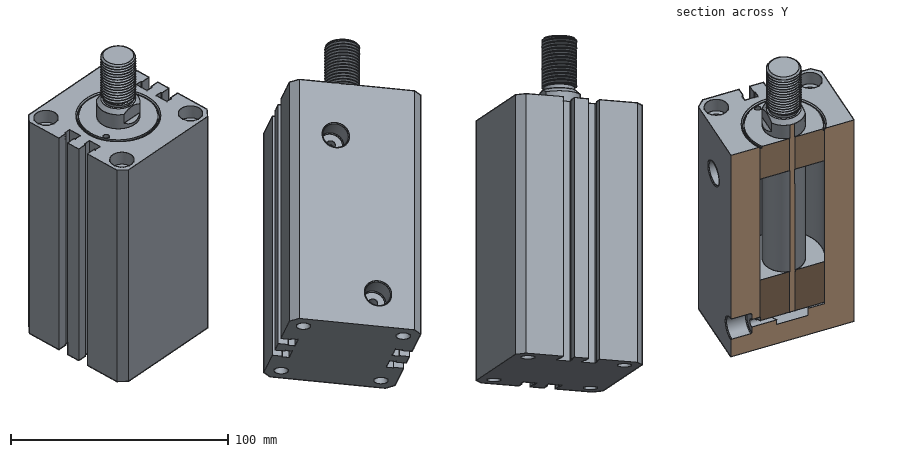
import cadquery as cq
import math


TOTAL_HEIGHT = 158.0

BODY_SIDE = 62.0
BODY_HEIGHT = 123.0
CORNER_CHAMFER = 3.8

SLOT_OFFSET = 6.2
SLOT_MOUTH_WIDTH = 5.4
SLOT_INNER_WIDTH = 6.6
SLOT_LIP_DEPTH = 4.7
SLOT_DEPTH = 8.0

BOLT_OFFSET = 23.5
BOLT_HOLE_DIAMETER = 6.6
COUNTERBORE_DIAMETER = 11.2
COUNTERBORE_DEPTH = 7.0

BORE_RADIUS = 19.0
BORE_FLOOR = 16.3
RECESS_RADIUS = 12.6
RECESS_FLOOR = 12.0
RIM_CHAMFER = 0.6

PORT_OFFSET = 10.0
UPPER_PORT_Z = 96.0
LOWER_PORT_Z = 16.9
PORT_MOUTH_DIAMETER = 13.0
PORT_DIAMETER = 12.0
PORT_DEPTH = 10.0
PORT_FLOOR_DIAMETER = 11.0
PORT_PASSAGE_DIAMETER = 4.3

COVER_HEIGHT = 19.9
COVER_TOP_RADIUS = 18.3
COVER_STEP_HEIGHT = 1.0
SPANNER_HOLE_RADIUS = 1.5
SPANNER_HOLE_DEPTH = 3.0
SPANNER_CIRCLE_RADIUS = 16.6
SPANNER_ANGLE = 112.5
DRILL_TIP_ANGLE = 118.0

PISTON_BOTTOM = LOWER_PORT_Z
PISTON_HEIGHT = 25.0

ROD_DIAMETER = 20.0
ROD_CONE_TOP_RADIUS = 8.0
SHOULDER_FROM_TIP = 25.0
THREAD_LENGTH = 23.0
THREAD_RADIUS = 8.0
THREAD_ROOT_RADIUS = 7.1
THREAD_PITCH = 1.5
THREAD_CREST = 0.24
TIP_CHAMFER = 1.0
WIDTH_ACROSS_FLATS = 16.9
FLAT_BOTTOM_FROM_TIP = 32.0

CLEARANCE = 1.6
THREAD_CLEARANCE = 0.2

HALF_SIDE = BODY_SIDE / 2
ROD_RADIUS = ROD_DIAMETER / 2
FLAT_HALF_WIDTH = WIDTH_ACROSS_FLATS / 2
COVER_BOTTOM = BODY_HEIGHT - COVER_HEIGHT
SHOULDER_Z = TOTAL_HEIGHT - SHOULDER_FROM_TIP
THREAD_BOTTOM = TOTAL_HEIGHT - THREAD_LENGTH


def cylinder(radius, bottom, top):
    """Cylinder on the Z axis between two heights."""
    return cq.Workplane("XY").workplane(offset=bottom).circle(radius).extrude(top - bottom)


def slot(side, x_center):
    """Undercut groove along the full height, in the +Y (side = 1) or -Y (side = -1) face."""
    def strip(width, outer, inner):
        middle = side * (HALF_SIDE - (outer + inner) / 2)
        return cq.Workplane("XY").center(x_center, middle).rect(width, inner - outer).extrude(BODY_HEIGHT)

    mouth = strip(SLOT_MOUTH_WIDTH, -CLEARANCE, SLOT_DEPTH)
    undercut = strip(SLOT_INNER_WIDTH, SLOT_LIP_DEPTH, SLOT_DEPTH)
    return mouth.union(undercut)


def port(y, z):
    """Port in the -X face: countersunk hole with a tapered end, then a small passage into the bore."""
    mouth_radius = PORT_MOUTH_DIAMETER / 2
    hole_radius = PORT_DIAMETER / 2
    floor_radius = PORT_FLOOR_DIAMETER / 2
    passage_radius = PORT_PASSAGE_DIAMETER / 2
    floor_depth = PORT_DEPTH + hole_radius - floor_radius
    half_section = [
        (0, 0),
        (mouth_radius, 0),
        (hole_radius, mouth_radius - hole_radius),
        (hole_radius, PORT_DEPTH),
        (floor_radius, floor_depth),
        (passage_radius, floor_depth),
        (passage_radius, HALF_SIDE),
        (0, HALF_SIDE),
    ]
    port_plane = cq.Plane(origin=(-HALF_SIDE, y, z), xDir=(0, 1, 0), normal=(0, 0, 1))
    sketch = cq.Workplane(port_plane).polyline([(radius, -depth) for radius, depth in half_section]).close()
    return sketch.revolve(360, (0, 0), (0, 1))


def make_housing():
    """Square block with slots, bolt holes, stepped bore and two ports."""
    block = cq.Workplane("XY").rect(BODY_SIDE, BODY_SIDE).extrude(BODY_HEIGHT)
    block = block.edges("|Z").chamfer(CORNER_CHAMFER)

    for side in (-1, 1):
        for x_center in (-SLOT_OFFSET, SLOT_OFFSET):
            block = block.cut(slot(side, x_center))

    block = (
        block.faces(">Z").workplane(origin=(0, 0, BODY_HEIGHT))
        .rect(2 * BOLT_OFFSET, 2 * BOLT_OFFSET, forConstruction=True).vertices()
        .cboreHole(BOLT_HOLE_DIAMETER, COUNTERBORE_DIAMETER, COUNTERBORE_DEPTH)
    )

    block = block.cut(cylinder(BORE_RADIUS, BORE_FLOOR, BODY_HEIGHT))
    block = block.cut(cylinder(RECESS_RADIUS, RECESS_FLOOR, BORE_FLOOR))
    rim = cq.Solid.makeCone(
        BORE_RADIUS, BORE_RADIUS + RIM_CHAMFER, RIM_CHAMFER, pnt=cq.Vector(0, 0, BODY_HEIGHT - RIM_CHAMFER)
    )
    block = block.cut(cq.Workplane(rim))

    block = block.cut(port(PORT_OFFSET, UPPER_PORT_Z))
    return block.cut(port(-PORT_OFFSET, LOWER_PORT_Z))


def spanner_hole(angle):
    """Blind hole with a drill tip in the top of the cover."""
    tip_depth = SPANNER_HOLE_RADIUS / math.tan(math.radians(DRILL_TIP_ANGLE / 2))
    x = SPANNER_CIRCLE_RADIUS * math.cos(math.radians(angle))
    y = SPANNER_CIRCLE_RADIUS * math.sin(math.radians(angle))
    half_section = [
        (0, 0),
        (SPANNER_HOLE_RADIUS, 0),
        (SPANNER_HOLE_RADIUS, -SPANNER_HOLE_DEPTH),
        (0, -SPANNER_HOLE_DEPTH - tip_depth),
    ]
    sketch = cq.Workplane("XZ", origin=(x, y, BODY_HEIGHT)).polyline(half_section).close()
    return sketch.revolve(360, (0, 0), (0, 1))


def make_cover():
    """Stepped disc around the rod, flush with the top of the housing."""
    disc = cylinder(BORE_RADIUS, COVER_BOTTOM, BODY_HEIGHT - COVER_STEP_HEIGHT)
    disc = disc.union(cylinder(COVER_TOP_RADIUS, COVER_BOTTOM, BODY_HEIGHT))
    disc = disc.cut(cylinder(ROD_RADIUS, COVER_BOTTOM, BODY_HEIGHT))
    for angle in (SPANNER_ANGLE, SPANNER_ANGLE + 180):
        disc = disc.cut(spanner_hole(angle))
    return disc


def make_piston():
    """Plain ring filling the bore around the lower end of the rod."""
    top = PISTON_BOTTOM + PISTON_HEIGHT
    disc = cylinder(BORE_RADIUS, PISTON_BOTTOM, top)
    return disc.cut(cylinder(ROD_RADIUS, PISTON_BOTTOM, top))


def thread_groove():
    """Right-handed V groove wound around the rod from the relief to just below the tip."""
    bottom = THREAD_BOTTOM - THREAD_PITCH / 2
    helix = cq.Wire.makeHelix(THREAD_PITCH, THREAD_LENGTH, THREAD_ROOT_RADIUS)
    half_width = (THREAD_PITCH - THREAD_CREST) / 2
    flank = half_width / (THREAD_RADIUS - THREAD_ROOT_RADIUS)
    outer = THREAD_RADIUS + THREAD_CLEARANCE
    outer_half_width = flank * (outer - THREAD_ROOT_RADIUS)
    section = cq.Workplane("XZ").polyline(
        [(THREAD_ROOT_RADIUS, 0), (outer, outer_half_width), (outer, -outer_half_width)]
    ).close()
    return section.sweep(cq.Workplane(helix), isFrenet=True).translate((0, 0, bottom))


def wrench_flat(side):
    """Cut for one flat; its lower end slopes out at 45 degrees to the rod surface."""
    depth = ROD_RADIUS - FLAT_HALF_WIDTH
    flat_bottom = TOTAL_HEIGHT - FLAT_BOTTOM_FROM_TIP
    outer = ROD_RADIUS + CLEARANCE
    outline = [
        (side * FLAT_HALF_WIDTH, SHOULDER_Z),
        (side * FLAT_HALF_WIDTH, flat_bottom),
        (side * outer, flat_bottom - depth - CLEARANCE),
        (side * outer, SHOULDER_Z),
    ]
    return cq.Workplane("XZ").polyline(outline).close().extrude(ROD_RADIUS, both=True)


def make_rod():
    """Rod from the piston's lower face to the threaded tip, with two wrench flats."""
    cone_bottom = SHOULDER_Z - (ROD_RADIUS - ROD_CONE_TOP_RADIUS)
    half_section = [
        (0, PISTON_BOTTOM),
        (ROD_RADIUS, PISTON_BOTTOM),
        (ROD_RADIUS, cone_bottom),
        (ROD_CONE_TOP_RADIUS, SHOULDER_Z),
        (THREAD_ROOT_RADIUS, SHOULDER_Z),
        (THREAD_ROOT_RADIUS, THREAD_BOTTOM),
        (THREAD_RADIUS, THREAD_BOTTOM),
        (THREAD_RADIUS, TOTAL_HEIGHT - TIP_CHAMFER),
        (THREAD_RADIUS - TIP_CHAMFER, TOTAL_HEIGHT),
        (0, TOTAL_HEIGHT),
    ]
    rod = cq.Workplane("XZ").polyline(half_section).close().revolve(360, (0, 0), (0, 1))
    for side in (-1, 1):
        rod = rod.cut(wrench_flat(side))
    return rod.cut(thread_groove())


housing = make_housing()
cover = make_cover()
piston = make_piston()
rod = make_rod()

result = cq.Compound.makeCompound([housing.val(), cover.val(), piston.val(), rod.val()])